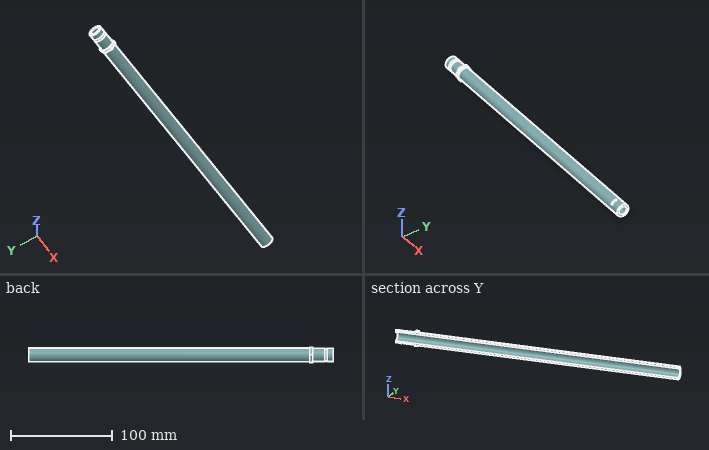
import cadquery as cq

length = 300.0
tube_diameter = 13.8
nose_diameter = 13.5
bore_diameter = 9.0

groove_start = 6.0
groove_end = 8.7
groove_depth = 1.0

collar_start = 20.5
collar_width = 3.0
collar_flats = 15.0
collar_turn = 30.0

slot_center = 289.2
slot_width = 1.2
slot_angle = 60.0

tube_radius = tube_diameter / 2
nose_radius = nose_diameter / 2


def revolve_about_x(section, angle):
    """Revolve a section that lies in the XZ plane about the X axis."""
    return section.revolve(angle, (0, 0, 0), (1, 0, 0))


def stepped_tube():
    """Solid nose and tube, with the ring groove in the nose."""
    groove_middle = (groove_start + groove_end) / 2
    half_section = (
        cq.Workplane("XZ")
        .lineTo(0, nose_radius)
        .lineTo(groove_start, nose_radius)
        .threePointArc((groove_middle, nose_radius - groove_depth), (groove_end, nose_radius))
        .lineTo(collar_start, nose_radius)
        .lineTo(collar_start, tube_radius)
        .lineTo(length, tube_radius)
        .lineTo(length, 0)
        .close()
    )
    return revolve_about_x(half_section, 360)


def hex_collar():
    hexagon = cq.Workplane("YZ", origin=(collar_start, 0, 0)).polygon(6, collar_flats, circumscribed=True)
    return hexagon.extrude(collar_width).rotate((0, 0, 0), (1, 0, 0), collar_turn)


def bore():
    return cq.Workplane("YZ").circle(bore_diameter / 2).extrude(length)


def wall_slot():
    """Wedge-shaped cutter: a thin rectangle standing on the X axis, swept about it."""
    section = cq.Workplane("XZ").moveTo(slot_center - slot_width / 2, 0)
    section = section.rect(slot_width, tube_diameter, centered=False)
    return revolve_about_x(section, slot_angle)


result = stepped_tube().union(hex_collar()).cut(bore()).cut(wall_slot())